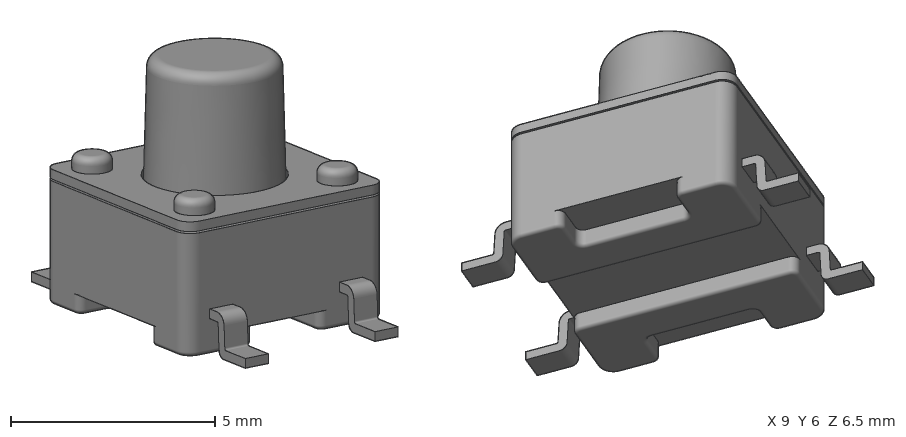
import cadquery as cq
import math

housing_side = 6.0
half_side = housing_side / 2
housing_top = 3.15
corner_radius = 0.4

rail_height = 0.5
channel_width = 2.0
notch_width = 3.0
notch_depth = 1.0
rail_corner_radius = 0.2
bottom_edge_radius = 0.1

button_top = 6.5
button_base_radius = 1.75
button_draft = 1.5
button_edge_radius = 0.3

lead_span = 9.0
lead_width = 0.7
lead_thickness = 0.25
lead_top = 1.15
lead_spacing = 3.9
lead_leg_x = 3.5
lead_leg_tilt = 3.0
bend_inner_radius = 0.05
shoulder_bend_radius = bend_inner_radius + lead_thickness
heel_bend_radius = 0.2

cover_gap = 0.05
cover_thickness = 0.25
cover_bottom = housing_top + cover_gap
cover_top = cover_bottom + cover_thickness
cover_hole_diameter = 3.6
rivet_diameter = 1.0
rivet_height = 0.4
rivet_edge_radius = 0.2
rivet_spacing = 4.3


def make_feet_rail():
    """Rail along the -Y side of the housing with a notch in its outer face."""
    inner_y = -channel_width / 2
    notch_y = -half_side + notch_depth
    notch_x = notch_width / 2
    outline = [
        (-half_side, -half_side),
        (-notch_x, -half_side),
        (-notch_x, notch_y),
        (notch_x, notch_y),
        (notch_x, -half_side),
        (half_side, -half_side),
        (half_side, inner_y),
        (-half_side, inner_y),
    ]
    rail = cq.Workplane("XY").polyline(outline).close().extrude(rail_height)
    housing_corners = [(x, -half_side, rail_height / 2) for x in (-half_side, half_side)]
    for corner in housing_corners:
        rail = rail.edges(cq.NearestToPointSelector(corner)).fillet(corner_radius)

    small_corners = [(x, notch_end) for x in (-notch_x, notch_x) for notch_end in (-half_side, notch_y)]
    small_corners += [(x, inner_y) for x in (-half_side, half_side)]
    for x, y in small_corners:
        corner = (x, y, rail_height / 2)
        rail = rail.edges(cq.NearestToPointSelector(corner)).fillet(rail_corner_radius)
    return rail.faces("<Z").edges().fillet(bottom_edge_radius)


def make_button():
    """Tapered round button with a rounded top edge."""
    height = button_top - housing_top
    return (
        cq.Workplane("XY", origin=(0, 0, housing_top))
        .circle(button_base_radius)
        .extrude(height, taper=button_draft)
        .faces(">Z").edges().fillet(button_edge_radius)
    )


def make_lead():
    """Lead on the +X side, centred on Y = 0, bent down to a flat soldering foot."""
    tilt = math.radians(lead_leg_tilt)
    leg_half_width = lead_thickness / 2 / math.cos(tilt)
    leg_middle_z = lead_top / 2
    shoulder_bottom = lead_top - lead_thickness

    def leg_point(side, z):
        """Point at height z on the outer (+1) or inner (-1) face of the sloping leg."""
        x = lead_leg_x + side * leg_half_width + (leg_middle_z - z) * math.tan(tilt)
        return (x, z)

    shoulder_outer = leg_point(1, lead_top)
    shoulder_inner = leg_point(-1, shoulder_bottom)
    foot_inner = leg_point(1, lead_thickness)
    foot_outer = leg_point(-1, 0)
    foot_end = lead_span / 2
    outline = [
        (half_side, lead_top),
        shoulder_outer,
        foot_inner,
        (foot_end, lead_thickness),
        (foot_end, 0),
        foot_outer,
        shoulder_inner,
        (half_side, shoulder_bottom),
    ]
    lead = cq.Workplane("XZ").polyline(outline).close().extrude(lead_width / 2, both=True)
    bends = [
        (shoulder_outer, shoulder_bend_radius),
        (shoulder_inner, bend_inner_radius),
        (foot_inner, bend_inner_radius),
        (foot_outer, heel_bend_radius),
    ]
    for (x, z), radius in bends:
        lead = lead.edges(cq.NearestToPointSelector((x, 0, z))).fillet(radius)
    return lead


def make_switch_body():
    """Housing with its feet rails, button and four leads."""
    body = (
        cq.Workplane("XY", origin=(0, 0, rail_height))
        .rect(housing_side, housing_side)
        .extrude(housing_top - rail_height)
        .edges("|Z").fillet(corner_radius)
    )
    rail = make_feet_rail()
    body = body.union(rail).union(rail.mirror("XZ"))
    body = body.union(make_button())

    right_lead = make_lead()
    for lead in (right_lead, right_lead.mirror("YZ")):
        for side in (-1, 1):
            body = body.union(lead.translate((0, side * lead_spacing / 2, 0)))
    return body


def make_cover():
    """Cover plate with a clearance hole for the button and rounded rivet heads."""
    plate = (
        cq.Workplane("XY", origin=(0, 0, cover_bottom))
        .rect(housing_side, housing_side)
        .extrude(cover_thickness)
        .edges("|Z").fillet(corner_radius)
        .faces(">Z").workplane().hole(cover_hole_diameter)
    )
    rivets = (
        cq.Workplane("XY", origin=(0, 0, cover_top))
        .rect(rivet_spacing, rivet_spacing, forConstruction=True)
        .vertices()
        .circle(rivet_diameter / 2)
        .extrude(rivet_height)
        .faces(">Z").edges().fillet(rivet_edge_radius)
    )
    return plate.union(rivets)


switch_body = make_switch_body()
cover = make_cover()

result = cq.Compound.makeCompound([switch_body.solids().val(), cover.solids().val()])